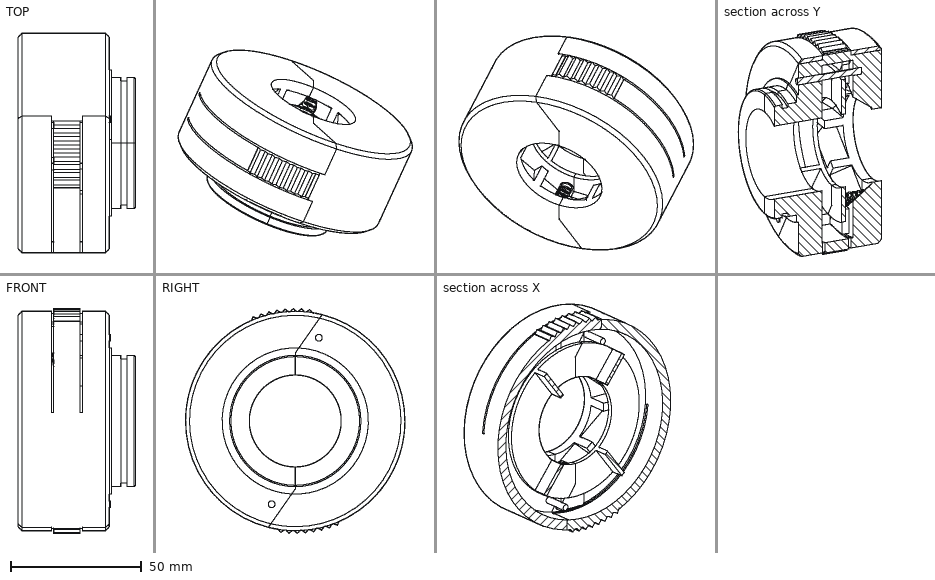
import cadquery as cq
import math


outer_radius = 42.0
bore_radius = 17.5
housing_length = 35.0
edge_chamfer = 1.55

flange_radius = 27.95
flange_end = 35.8
neck_radius = 25.1
neck_end = 45.0
neck_chamfer = 0.5
groove_radius = 23.7
groove_start = 39.4
groove_end = 41.6

parting_bend_z = 26.0
parting_slope = 0.7
parting_reach = 51.6

cavity_radius = 37.8
cavity_start = 12.0
cavity_end = 24.9
end_wall = 4.2
pocket_flat_angle = math.radians(52.5)
pocket_flat_near = 18.0
pocket_flat_far = 22.5
pocket_radius = 27.5
rib_outer_radius = 30.95
hub_rib_width = 3.3
ring_rib_width = 1.7
hub_rib_angles = [-pocket_flat_angle, 0, pocket_flat_angle]
ring_rib_angles = [-pocket_flat_angle, pocket_flat_angle]
bridge_half_width = 5.6
bridge_top = 36.1

arm_start = 13.7
arm_end = 23.8
slot_width = 0.8
arm_root_z = 3.2
arm_tip_y = 8.3

tooth_tip_radius = 43.0
tooth_root_radius = 41.6
tooth_pitch = math.radians(4.2)
first_tooth_angle = math.radians(-7.4)
tooth_count = 8
row_start = first_tooth_angle - tooth_pitch / 2
row_end = row_start + tooth_count * tooth_pitch

pin_radius = 1.3
pin_y = 9.0
pin_z = 31.8
pin_start = 8.6
pin_end = 35.4

ring_start = 15.05
ring_thickness = 1.9

spring_radius = 2.2
wire_radius = 0.3
spring_pitch = 1.9
spring_y = -2.6
spring_z = 23.2


def disc(radius, start, end):
    """Cylinder on the X axis between two X positions."""
    return cq.Workplane("YZ", origin=(start, 0, 0)).circle(radius).extrude(end - start)


def block(start, end, y_low, y_high, z_low, z_high):
    """Box given by its limits along X, Y and Z."""
    size = (end - start, y_high - y_low, z_high - z_low)
    return cq.Workplane("XY", origin=(start, y_low, z_low)).box(*size, centered=False)


def turned(body):
    """The body turned half a turn about the shaft axis."""
    return body.rotate((0, 0, 0), (1, 0, 0), 180)


def half_space():
    """Prism that covers the -Y side of the parting line."""
    slant_y = parting_slope * (parting_reach - parting_bend_z)
    outline = [
        (slant_y, parting_reach),
        (0, parting_bend_z),
        (0, -parting_bend_z),
        (-slant_y, -parting_reach),
        (-parting_reach, -parting_reach),
        (-parting_reach, parting_reach),
    ]
    return cq.Workplane("YZ").polyline(outline).close().extrude(neck_end)


def outer_form():
    """Turned outside of the housing with its flange and grooved neck."""
    outline = [
        (0, 0),
        (0, outer_radius - edge_chamfer),
        (edge_chamfer, outer_radius),
        (housing_length - edge_chamfer, outer_radius),
        (housing_length, outer_radius - edge_chamfer),
        (housing_length, flange_radius),
        (flange_end, flange_radius),
        (flange_end, neck_radius),
        (groove_start, neck_radius),
        (groove_start, groove_radius),
        (groove_end, groove_radius),
        (groove_end, neck_radius),
        (neck_end - neck_chamfer, neck_radius),
        (neck_end, neck_radius - neck_chamfer),
        (neck_end, 0),
    ]
    return cq.Workplane("XY").polyline(outline).close().revolve(360, (0, 0, 0), (1, 0, 0))


def ribs(start, end, angles, width):
    """Flat radial ribs on both sides of the axis, between the bore and the rib radius."""
    sleeve = disc(rib_outer_radius, start, end).cut(disc(bore_radius, start, end))
    bars = cq.Workplane("XY")
    for angle in angles:
        bar = block(start, end, -rib_outer_radius, rib_outer_radius, -width / 2, width / 2)
        bars = bars.union(bar.rotate((0, 0, 0), (1, 0, 0), math.degrees(angle)))
    return bars.intersect(sleeve)


def pocket():
    """Hub pocket with four flat floors that flare out towards the cavity, interrupted by the ribs."""
    def corners(flat_distance):
        y = flat_distance / math.cos(pocket_flat_angle)
        z = flat_distance / math.sin(pocket_flat_angle)
        return [(y, 0), (0, z), (-y, 0), (0, -z)]

    flare = (
        cq.Workplane("YZ", origin=(end_wall, 0, 0))
        .polyline(corners(pocket_flat_near)).close()
        .workplane(offset=cavity_start - end_wall)
        .polyline(corners(pocket_flat_far)).close()
        .loft(ruled=True)
    )
    limit = disc(pocket_radius, end_wall, cavity_start)
    return flare.intersect(limit).cut(ribs(end_wall, cavity_start, hub_rib_angles, hub_rib_width))


def spring_seat():
    """Blind hole in the hub that holds the spring of the -Y half."""
    return disc(spring_radius + wire_radius, end_wall, cavity_start).translate((0, spring_y, spring_z))


def cavity():
    """Chamber behind the hub, with a solid bridge left at its top and bottom."""
    room = disc(cavity_radius, cavity_start, cavity_end)
    bridge = block(
        cavity_start, ring_start, -bridge_half_width, bridge_half_width, parting_bend_z, bridge_top
    )
    return room.cut(bridge).cut(turned(bridge))


def arm_zone(start, end, inner_radius):
    """Part of the rim between two X positions, from the arm root to the arm tip on the -Y side."""
    rim = disc(tooth_tip_radius, start, end).cut(disc(inner_radius, start, end))
    return rim.intersect(block(start, end, -parting_reach, arm_tip_y, arm_root_z, parting_reach))


def tip_seat():
    """Space beyond the arm tip that belongs to the opposite half."""
    return block(
        arm_start - slot_width, arm_end + slot_width,
        arm_tip_y, parting_reach, parting_bend_z, parting_reach,
    )


def on_rim(radius, angle):
    """Y and Z of a point at an angle from +Z towards -Y."""
    return (-radius * math.sin(angle), radius * math.cos(angle))


def grip_teeth():
    """Row of V teeth around the rim of the arm."""
    outline = [on_rim(cavity_radius, row_start), on_rim(tooth_root_radius, row_start)]
    for number in range(tooth_count):
        tip_angle = first_tooth_angle + number * tooth_pitch
        outline.append(on_rim(tooth_tip_radius, tip_angle))
        outline.append(on_rim(tooth_root_radius, tip_angle + tooth_pitch / 2))
    outline.append(on_rim(cavity_radius, row_end))
    row = cq.Workplane("YZ", origin=(arm_start, 0, 0)).polyline(outline).close()
    return row.extrude(arm_end - arm_start).cut(disc(cavity_radius, arm_start, arm_end))


def grip_clearance():
    """Sector of the plain rim that the grip teeth replace."""
    outline = [
        on_rim(cavity_radius, row_start),
        on_rim(parting_reach, row_start),
        on_rim(parting_reach, row_end),
        on_rim(cavity_radius, row_end),
    ]
    sector = cq.Workplane("YZ", origin=(arm_start, 0, 0)).polyline(outline).close()
    sector = sector.extrude(arm_end - arm_start)
    return sector.cut(disc(cavity_radius, arm_start, arm_end))


def catch_pin():
    """Pin in the +Y half, beside the arm tip of the -Y half."""
    return disc(pin_radius, pin_start, pin_end).translate((0, pin_y, pin_z))


def housing_half():
    """The -Y half with its arm; the opposite pin sits in this half at -Z."""
    shell = outer_form().cut(disc(bore_radius, 0, neck_end)).cut(pocket()).cut(cavity())
    half = shell.intersect(half_space().cut(tip_seat()).union(turned(tip_seat())))
    for slot_start in (arm_start - slot_width, arm_end):
        half = half.cut(arm_zone(slot_start, slot_start + slot_width, cavity_radius))
    half = half.cut(grip_clearance()).union(grip_teeth())
    return half.cut(turned(catch_pin())).cut(spring_seat())


def clamp_ring_half():
    """Half ring around the bore with ribs that reach the far wall of the cavity."""
    ring_end = ring_start + ring_thickness
    ring = disc(rib_outer_radius, ring_start, ring_end).cut(disc(bore_radius, ring_start, ring_end))
    return ring.union(ribs(ring_end, cavity_end, ring_rib_angles, ring_rib_width)).intersect(half_space())


def spring():
    """Coil along X between the end wall and the clamp ring."""
    coil_length = ring_start - end_wall - 2 * wire_radius
    path = cq.Wire.makeHelix(spring_pitch, coil_length, spring_radius)
    coil = cq.Workplane("XZ", origin=(spring_radius, 0, 0)).circle(wire_radius).sweep(path, isFrenet=True)
    coil = coil.rotate((0, 0, 0), (0, 1, 0), 90)
    return coil.translate((end_wall + wire_radius, spring_y, spring_z))


bodies = []
for make_body in (housing_half, clamp_ring_half, catch_pin, spring):
    body = make_body()
    bodies.extend([*body.solids().vals(), *turned(body).solids().vals()])

result = cq.Compound.makeCompound(bodies)